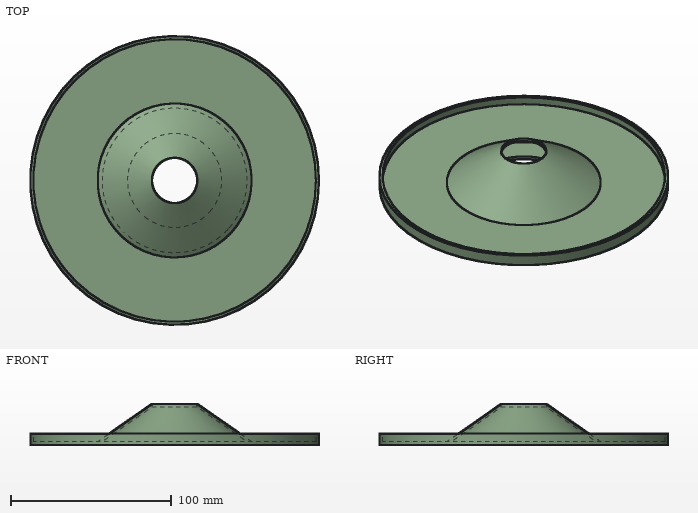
import cadquery as cq

dish_diameter = 180.0
rim_inner_diameter = 176.0
rim_height = 7.2
floor_thickness = 2.2
floor_hole_diameter = 58.7

total_height = 25.7
cone_base_diameter = 96.0
cone_top_diameter = 28.0
cone_wall_drop = 2.0


def make_dish():
    """Plate with a thin upright rim and a central hole."""
    plate = cq.Workplane("XY").circle(dish_diameter / 2).extrude(rim_height)
    recess = (
        cq.Workplane("XY")
        .workplane(offset=floor_thickness)
        .circle(rim_inner_diameter / 2)
        .extrude(rim_height - floor_thickness)
    )
    hole = cq.Workplane("XY").circle(floor_hole_diameter / 2).extrude(floor_thickness)
    return plate.cut(recess).cut(hole)


def make_cone():
    """Conical shell of even thickness with a short cylindrical mouth."""
    base_radius = cone_base_diameter / 2
    top_radius = cone_top_diameter / 2
    slope_run = (base_radius - top_radius) / (total_height - floor_thickness)
    inner_base_radius = base_radius - cone_wall_drop * slope_run
    return (
        cq.Workplane("XZ")
        .moveTo(inner_base_radius, floor_thickness)
        .lineTo(base_radius, floor_thickness)
        .lineTo(top_radius, total_height)
        .lineTo(top_radius, total_height - cone_wall_drop)
        .close()
        .revolve(360, (0, 0, 0), (0, 1, 0))
    )


dish = make_dish()
cone = make_cone()

result = cq.Compound.makeCompound([dish.val(), cone.val()])